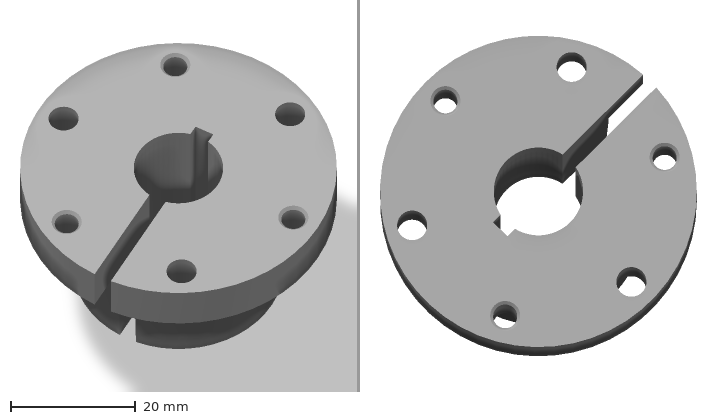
import cadquery as cq

flange_diameter = 50.8
total_height = 25.4
flange_thickness = 7.9

collar_diameter = 35.05
collar_height = 3.1
hub_end_diameter = 33.95

bore_diameter = 14.3
keyway_width = 3.25
keyway_reach = 8.7
slot_width = 2.95

bolt_circle_diameter = 41.95
holes_per_set = 3
clearance_hole_diameter = 4.8
jack_hole_diameter = 3.85
jack_chamfer = (clearance_hole_diameter - jack_hole_diameter) / 2
clearance_start_angle = 60
jack_start_angle = 0

flange_bottom = total_height - flange_thickness
collar_bottom = flange_bottom - collar_height


def bushing_body():
    """Revolved flange, collar and tapered hub with the bottom at Z = 0."""
    profile = [
        (0, 0),
        (hub_end_diameter / 2, 0),
        (collar_diameter / 2, collar_bottom),
        (collar_diameter / 2, flange_bottom),
        (flange_diameter / 2, flange_bottom),
        (flange_diameter / 2, total_height),
        (0, total_height),
    ]
    return cq.Workplane("XZ").polyline(profile).close().revolve(360, (0, 0), (0, 1))


def through_box(width, length, toward_plus_y):
    """Full-height cutter from the bore axis along +Y or -Y."""
    return cq.Workplane("XY").box(
        width, length, total_height, centered=(True, False, False)
    ).translate((0, 0 if toward_plus_y else -length, 0))


def hole_centres(start_angle):
    """One set of hole centres on the bolt circle, in the flange top plane."""
    return cq.Workplane("XY", origin=(0, 0, total_height)).polarArray(
        bolt_circle_diameter / 2, start_angle, 360, holes_per_set
    )


def flange_holes(start_angle, diameter):
    """Cutters for one set of holes through the flange."""
    return hole_centres(start_angle).circle(diameter / 2).extrude(-flange_thickness)


def jack_hole_chamfers():
    """Cone cutters that widen the tops of the jacking holes."""
    cone = cq.Solid.makeCone(
        jack_hole_diameter / 2,
        clearance_hole_diameter / 2,
        jack_chamfer,
        pnt=cq.Vector(0, 0, -jack_chamfer),
    )
    return hole_centres(jack_start_angle).eachpoint(lambda place: cone.moved(place))


result = bushing_body()
result = result.cut(cq.Workplane("XY").circle(bore_diameter / 2).extrude(total_height))
result = result.cut(through_box(keyway_width, keyway_reach, True))
result = result.cut(through_box(slot_width, flange_diameter / 2, False))

result = result.cut(flange_holes(clearance_start_angle, clearance_hole_diameter))
result = result.cut(flange_holes(jack_start_angle, jack_hole_diameter))
result = result.cut(jack_hole_chamfers())